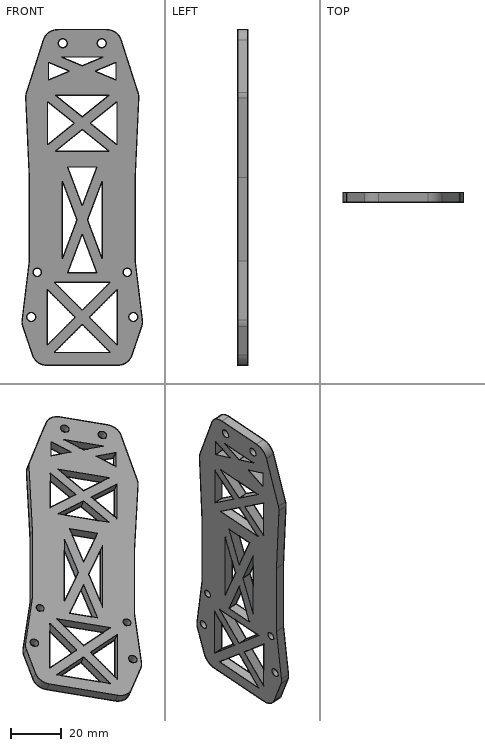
import cadquery as cq
import math

height = 132.1
thickness = 4.0
corner_radius = 6.0

top_half_width = 14.0
shoulder_half_width, shoulder_z = 22.3, 106.2
waist_half_width = 20.9
waist_top_z, waist_bottom_z = 74.0, 41.0
hip_width = 47.7
hip_half_width, hip_z = hip_width / 2, 16.5
bottom_half_width = 18.2

bar_width = 4.0
top_window = (13.2, 5.5, 115.7)
upper_window = (13.6, 11.0, 95.3)
middle_window = (7.8, 20.7, 57.2)
lower_window = (13.7, 13.7, 18.9)

hole_pairs = [
    (7.7, 126.7, 3.5),
    (17.7, 36.6, 3.2),
    (20.1, 19.0, 3.5),
]


def extrude_outline(points):
    """Extrude a closed XZ outline through the plate thickness."""
    plane = cq.Workplane("XZ", origin=(0, thickness / 2, 0))
    return plane.polyline(points).close().extrude(thickness)


def make_plate():
    right_side = [
        (bottom_half_width, 0),
        (hip_half_width, hip_z),
        (waist_half_width, waist_bottom_z),
        (waist_half_width, waist_top_z),
        (shoulder_half_width, shoulder_z),
        (top_half_width, height),
    ]
    left_side = [(-x, z) for x, z in reversed(right_side)]
    plate = extrude_outline(right_side + left_side)
    for x, z in right_side + left_side:
        if abs(x) != waist_half_width:
            corner = cq.selectors.NearestToPointSelector((x, 0, z))
            plate = plate.edges("|Y").edges(corner).fillet(corner_radius)
    return plate


def crossed_window(half_width, half_height, center_z, open_bottom=True):
    """Triangular openings left around two diagonal bars of a rectangle."""
    diagonal = math.hypot(half_width, half_height)
    gap_x = bar_width / 2 * diagonal / half_height
    gap_z = bar_width / 2 * diagonal / half_width
    base_x = half_width - gap_x
    base_z = half_height - gap_z

    def horizontal_triangle(side):
        edge_z = center_z + side * half_height
        apex = (0, center_z + side * gap_z)
        return extrude_outline([(-base_x, edge_z), (base_x, edge_z), apex])

    def vertical_triangle(side):
        edge_x = side * half_width
        apex = (side * gap_x, center_z)
        return extrude_outline([(edge_x, center_z - base_z), (edge_x, center_z + base_z), apex])

    openings = horizontal_triangle(1).union(vertical_triangle(-1)).union(vertical_triangle(1))
    if open_bottom:
        openings = openings.union(horizontal_triangle(-1))
    return openings


def hole_pair(offset, z, diameter):
    plane = cq.Workplane("XZ", origin=(0, thickness / 2, 0))
    return plane.pushPoints([(-offset, z), (offset, z)]).circle(diameter / 2).extrude(thickness)


result = make_plate()
result = result.cut(crossed_window(*top_window, open_bottom=False))
for window in (upper_window, middle_window, lower_window):
    result = result.cut(crossed_window(*window))
for pair in hole_pairs:
    result = result.cut(hole_pair(*pair))